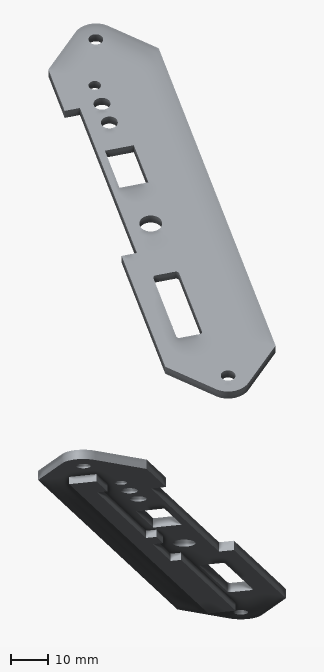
import cadquery as cq
import math

length = 146.0
width = 30.7
plate_thickness = 2.6
straight_length = 118.3
tip_radius = 6.1
mount_hole_diameter = 4.0

notch_left = -42.6
notch_right = 15.0
notch_depth = 4.2

indicator_y = -5.0
indicator_holes = [(-50.0, 3.4), (-42.6, 4.5), (-35.2, 4.5)]
jack_x = 5.1
jack_y = -4.5
jack_diameter = 6.1
window_center = (-17.7, -5.0)
window_size = (14.7, 8.0)
slot_center = (37.1, -5.8)
slot_size = (24.8, 7.2)
slot_corner_radius = 0.9

rib_height = 2.0
rib_front = -1.2
rib_back = 6.5
relief_depth = 2.9
relief_spans = [(-50.0, -8.3), (-2.6, 12.7)]

tip_center_x = length / 2 - tip_radius


def box_between(x_min, x_max, y_min, y_max, z_top, height):
    """Box given by its X and Y limits, hanging down from z_top."""
    return cq.Workplane("XY").box(
        x_max - x_min, y_max - y_min, height, centered=False
    ).translate((x_min, y_min, z_top - height))


def make_plate():
    corner_x = straight_length / 2
    corner_y = width / 2

    dx = corner_x - tip_center_x
    corner_distance = math.hypot(dx, corner_y)
    tangent_angle = math.atan2(corner_y, dx) - math.acos(tip_radius / corner_distance)
    tangent_x = tip_center_x + tip_radius * math.cos(tangent_angle)
    tangent_y = tip_radius * math.sin(tangent_angle)

    return (
        cq.Workplane("XY")
        .moveTo(-corner_x, corner_y)
        .lineTo(corner_x, corner_y)
        .lineTo(tangent_x, tangent_y)
        .threePointArc((length / 2, 0), (tangent_x, -tangent_y))
        .lineTo(corner_x, -corner_y)
        .lineTo(-corner_x, -corner_y)
        .lineTo(-tangent_x, -tangent_y)
        .threePointArc((-length / 2, 0), (-tangent_x, tangent_y))
        .close()
        .extrude(-plate_thickness)
    )


def make_rib():
    rib = box_between(
        -straight_length / 2, straight_length / 2, rib_front, rib_back, -plate_thickness, rib_height
    )
    for left, right in relief_spans:
        relief = box_between(
            left, right, rib_front, rib_front + relief_depth, -plate_thickness, rib_height
        )
        rib = rib.cut(relief)
    return rib


def hole_cutter(x, y, diameter):
    return cq.Workplane("XY").center(x, y).circle(diameter / 2).extrude(-plate_thickness)


def rectangle_cutter(center, size):
    return cq.Workplane("XY").center(*center).rect(*size).extrude(-plate_thickness)


plate = make_plate()

front_edge = -width / 2
plate = plate.cut(
    box_between(notch_left, notch_right, front_edge, front_edge + notch_depth, 0, plate_thickness)
)

for mount_x in (-tip_center_x, tip_center_x):
    plate = plate.cut(hole_cutter(mount_x, 0, mount_hole_diameter))
for indicator_x, indicator_diameter in indicator_holes:
    plate = plate.cut(hole_cutter(indicator_x, indicator_y, indicator_diameter))
plate = plate.cut(hole_cutter(jack_x, jack_y, jack_diameter))

plate = plate.cut(rectangle_cutter(window_center, window_size))
plate = plate.cut(rectangle_cutter(slot_center, slot_size).edges("|Z").fillet(slot_corner_radius))

result = plate.union(make_rib())